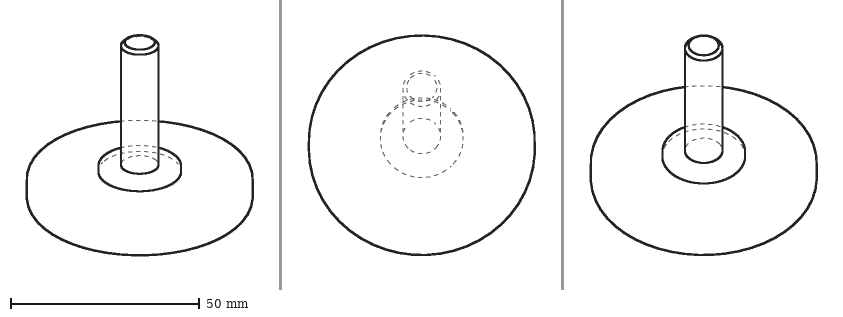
import cadquery as cq

disc_diameter = 60.0
disc_height = 10.0
disc_edge_radius = 2.5

collar_diameter = 22.0
collar_height = 2.0
collar_edge_radius = 0.5

stud_diameter = 10.0
stud_chamfer = 1.0
overall_height = 49.0

collar_top = disc_height + collar_height
stud_length = overall_height - collar_top


def make_cylinder(diameter, height, base_level):
    """Plain cylinder on the Z axis, standing on the given level."""
    return cq.Workplane("XY", origin=(0, 0, base_level)).circle(diameter / 2).extrude(height)


def make_disc():
    """Round foot standing on Z = 0, with both rims rounded."""
    disc = make_cylinder(disc_diameter, disc_height, 0)
    return disc.edges("%CIRCLE").fillet(disc_edge_radius)


def make_collar():
    """Low collar on top of the disc, with its top rim rounded."""
    collar = make_cylinder(collar_diameter, collar_height, disc_height)
    return collar.faces(">Z").edges().fillet(collar_edge_radius)


def make_stud():
    """Long stud rising from the collar, with its tip chamfered."""
    stud = make_cylinder(stud_diameter, stud_length, collar_top)
    return stud.faces(">Z").edges().chamfer(stud_chamfer)


result = make_disc().union(make_collar()).union(make_stud())